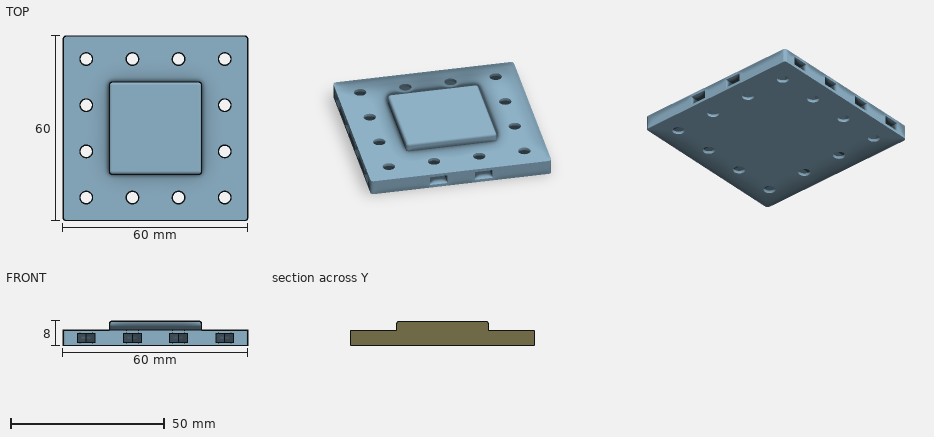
import cadquery as cq
import math

plate_side = 60.0
plate_thickness = 5.0
plate_corner_radius = 1.0

pad_side = 30.0
pad_height = 3.0
pad_edge_radius = 1.0

hole_diameter = 4.0
holes_per_side = 4
hole_pitch = plate_side / holes_per_side
nut_width = 5.8
nut_slot_height = 3.0
hexagon_half_sector = math.pi / 6

half_side = plate_side / 2
nut_slot_floor = (plate_thickness - nut_slot_height) / 2
hole_positions = [(i - (holes_per_side - 1) / 2) * hole_pitch for i in range(holes_per_side)]
rim_offset = hole_positions[-1]
inner_positions = hole_positions[1:-1]


def make_plate():
    plate = cq.Workplane("XY").box(plate_side, plate_side, plate_thickness, centered=(True, True, False))
    return plate.edges("|Z").fillet(plate_corner_radius)


def make_pad():
    pad = (
        cq.Workplane("XY")
        .workplane(offset=plate_thickness)
        .box(pad_side, pad_side, pad_height, centered=(True, True, False))
    )
    return pad.edges("|Z or >Z").fillet(pad_edge_radius)


def make_bolt_holes():
    rows = [(x, y) for x in hole_positions for y in (-rim_offset, rim_offset)]
    columns = [(x, y) for x in (-rim_offset, rim_offset) for y in inner_positions]
    return cq.Workplane("XY").pushPoints(rows + columns).circle(hole_diameter / 2).extrude(plate_thickness)


def make_nut_slot(position, side_angle):
    """Slot open at the -Y side, ending in a hexagon point, then turned about Z to its own side."""
    half_width = nut_width / 2
    corner_reach = half_width * math.tan(hexagon_half_sector)
    point_reach = half_width / math.cos(hexagon_half_sector)
    outline = [
        (position - half_width, -half_side),
        (position + half_width, -half_side),
        (position + half_width, -rim_offset + corner_reach),
        (position, -rim_offset + point_reach),
        (position - half_width, -rim_offset + corner_reach),
    ]
    slot = cq.Workplane("XY").workplane(offset=nut_slot_floor).polyline(outline).close().extrude(nut_slot_height)
    return slot.rotate((0, 0, 0), (0, 0, 1), side_angle)


result = make_plate().union(make_pad()).cut(make_bolt_holes())

for side_angle in (0, 180):
    for position in hole_positions:
        result = result.cut(make_nut_slot(position, side_angle))

for side_angle in (90, -90):
    for position in inner_positions:
        result = result.cut(make_nut_slot(position, side_angle))